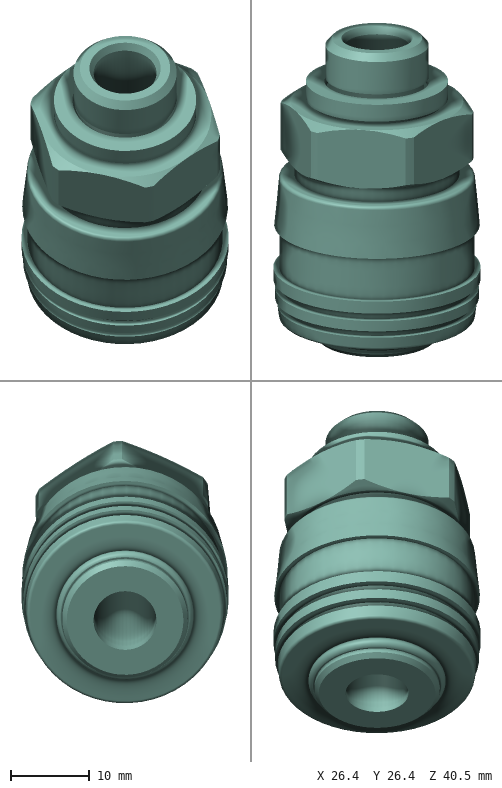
import cadquery as cq
import math

LENGTH = 40.5

BORE_DIA = 8.0
BORE_MOUTH_DIA = 9.07
BORE_MOUTH_ANGLE = 60.0

TIP_DIA = 16.0
TIP_CHAMFER = 0.55
TIP_TOP = 1.17
BEAD_DIA = 17.5
BEAD_EDGE_DIA = 16.45

SKIRT_BOTTOM = 2.7
SKIRT_EDGE_DIA = 24.9
SKIRT_FILLET = 0.4
LOW_RIB_DIA = 25.35
LOW_RIB_TOP = 4.5
LOW_GROOVE_DIA = 23.9
MID_RIB_BOTTOM = 5.45
MID_RIB_DIA = 26.0
MID_RIB_TOP = 6.85
HIGH_GROOVE_DIA = 24.4
HIGH_RIB_BOTTOM = 7.95
HIGH_RIB_DIA = 26.4
HIGH_RIB_TOP = 9.55
GROOVE_FLARE = 0.25

BODY_DIA = 24.9
GRIP_BOTTOM = 15.3
GRIP_BOTTOM_DIA = 26.2
GRIP_TOP = 22.1
GRIP_TOP_DIA = 24.9
GRIP_FILLET = 0.5

COLLAR_DIA = 21.0
HEX_BOTTOM = 24.0
HEX_TOP = 31.95
HEX_FLATS = 22.0
HEX_CORNER_DIA = 24.8
HEX_CHAMFER_ANGLE = 30.0

WASHER_NECK_DIA = 17.0
WASHER_BOTTOM = 32.45
WASHER_DIA = 18.15
WASHER_TOP = 34.7

RECESS_MOUTH_DIA = 13.4
RECESS_DIA = 12.88
COUNTERSINK_DEPTH = 0.305
RECESS_DEPTH = 0.8
RECESS_FLOOR = WASHER_TOP - RECESS_DEPTH

FOOT_DIA = 12.0
UNDERCUT_BOTTOM_DIA = 9.6
UNDERCUT_TOP_DIA = 11.1
SPIGOT_BOTTOM = 35.25
SPIGOT_DIA = 13.15
SPIGOT_TOP_DIA = 11.5
SPIGOT_CHAMFER_BOTTOM = 39.6


def frustum(bottom_z, top_z, bottom_dia, top_dia):
    """Solid cone or cylinder about the Z axis between two heights."""
    outline = [
        (0, bottom_z),
        (bottom_dia / 2, bottom_z),
        (top_dia / 2, top_z),
        (0, top_z),
    ]
    return cq.Workplane("XZ").polyline(outline).close().revolve(360, (0, 0), (0, 1))


def cylinder(bottom_z, top_z, diameter):
    return frustum(bottom_z, top_z, diameter, diameter)


def plug_end():
    tip = cylinder(0, TIP_TOP, TIP_DIA).faces("<Z").chamfer(TIP_CHAMFER)
    bead_start = BEAD_EDGE_DIA / 2
    bead_middle = (TIP_TOP + SKIRT_BOTTOM) / 2
    bead = (
        cq.Workplane("XZ")
        .moveTo(0, TIP_TOP)
        .lineTo(bead_start, TIP_TOP)
        .threePointArc((BEAD_DIA / 2, bead_middle), (bead_start, SKIRT_BOTTOM))
        .lineTo(0, SKIRT_BOTTOM)
        .close()
        .revolve(360, (0, 0), (0, 1))
    )
    return tip.union(bead)


def sleeve():
    low_rib = frustum(SKIRT_BOTTOM, LOW_RIB_TOP, SKIRT_EDGE_DIA, LOW_RIB_DIA)
    low_rib = low_rib.faces("<Z").edges().fillet(SKIRT_FILLET)
    grip = frustum(GRIP_BOTTOM, GRIP_TOP, GRIP_BOTTOM_DIA, GRIP_TOP_DIA)
    grip = grip.faces(">Z").edges().fillet(GRIP_FILLET)
    return (
        low_rib
        .union(frustum(LOW_RIB_TOP, MID_RIB_BOTTOM, LOW_GROOVE_DIA, LOW_GROOVE_DIA + GROOVE_FLARE))
        .union(cylinder(MID_RIB_BOTTOM, MID_RIB_TOP, MID_RIB_DIA))
        .union(frustum(MID_RIB_TOP, HIGH_RIB_BOTTOM, HIGH_GROOVE_DIA, HIGH_GROOVE_DIA + GROOVE_FLARE))
        .union(cylinder(HIGH_RIB_BOTTOM, HIGH_RIB_TOP, HIGH_RIB_DIA))
        .union(cylinder(HIGH_RIB_TOP, GRIP_BOTTOM, BODY_DIA))
        .union(grip)
    )


def hexagon():
    """Hexagon with corners on the Y axis, turned down and chamfered at both ends."""
    prism = (
        cq.Workplane("XY", origin=(0, 0, HEX_BOTTOM))
        .polygon(6, HEX_FLATS, circumscribed=True)
        .extrude(HEX_TOP - HEX_BOTTOM)
    )
    chamfer_width = (HEX_CORNER_DIA - HEX_FLATS) / 2
    chamfer_height = chamfer_width * math.tan(math.radians(HEX_CHAMFER_ANGLE))
    low_edge = HEX_BOTTOM + chamfer_height
    high_edge = HEX_TOP - chamfer_height
    envelope = (
        frustum(HEX_BOTTOM, low_edge, HEX_FLATS, HEX_CORNER_DIA)
        .union(cylinder(low_edge, high_edge, HEX_CORNER_DIA))
        .union(frustum(high_edge, HEX_TOP, HEX_CORNER_DIA, HEX_FLATS))
    )
    return prism.intersect(envelope)


def washer():
    neck = cylinder(HEX_TOP, WASHER_BOTTOM, WASHER_NECK_DIA)
    disc = cylinder(WASHER_BOTTOM, WASHER_TOP, WASHER_DIA)
    countersink_bottom = WASHER_TOP - COUNTERSINK_DEPTH
    recess = cylinder(RECESS_FLOOR, countersink_bottom, RECESS_DIA)
    countersink = frustum(countersink_bottom, WASHER_TOP, RECESS_DIA, RECESS_MOUTH_DIA)
    return neck.union(disc).cut(recess).cut(countersink)


def spigot():
    foot = frustum(RECESS_FLOOR, WASHER_TOP, FOOT_DIA, UNDERCUT_BOTTOM_DIA)
    undercut = frustum(WASHER_TOP, SPIGOT_BOTTOM, UNDERCUT_BOTTOM_DIA, UNDERCUT_TOP_DIA)
    thread = cylinder(SPIGOT_BOTTOM, SPIGOT_CHAMFER_BOTTOM, SPIGOT_DIA)
    lead_in = frustum(SPIGOT_CHAMFER_BOTTOM, LENGTH, SPIGOT_DIA, SPIGOT_TOP_DIA)
    return foot.union(undercut).union(thread).union(lead_in)


def bore():
    """Through bore with a steep chamfer at the spigot mouth."""
    mouth_width = (BORE_MOUTH_DIA - BORE_DIA) / 2
    mouth_depth = mouth_width * math.tan(math.radians(BORE_MOUTH_ANGLE))
    mouth = frustum(LENGTH - mouth_depth, LENGTH, BORE_DIA, BORE_MOUTH_DIA)
    return cylinder(0, LENGTH, BORE_DIA).union(mouth)


result = (
    plug_end()
    .union(sleeve())
    .union(cylinder(GRIP_TOP, HEX_BOTTOM, COLLAR_DIA))
    .union(hexagon())
    .union(washer())
    .union(spigot())
    .cut(bore())
)